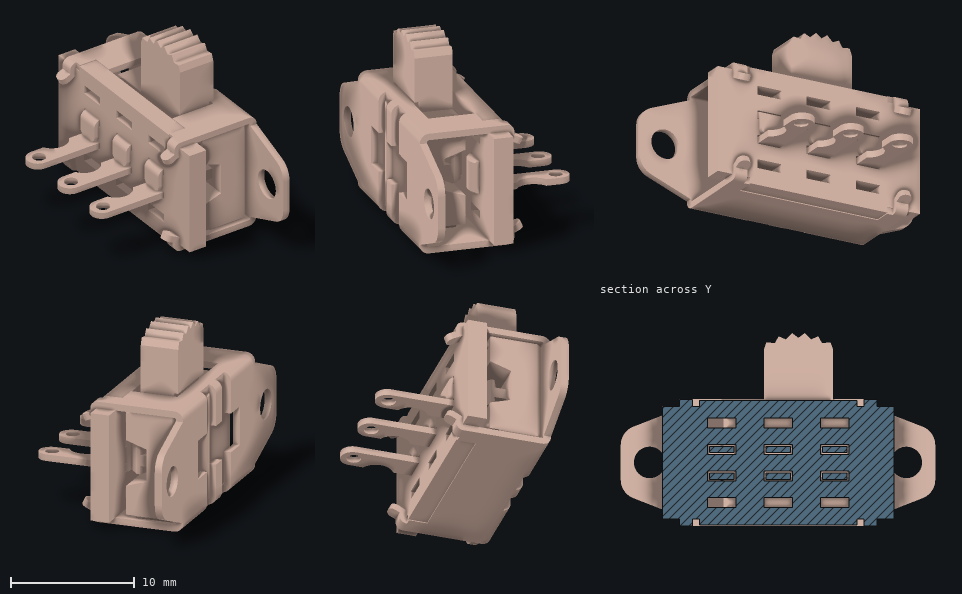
import cadquery as cq
import math


plate_length = 25.4
plate_thickness = 0.6
sheet = 0.55
frame_length = 16.0
frame_height = 10.25
bend_radius = 0.75
frame_front = 7.42
half_frame = frame_length / 2
half_height = frame_height / 2
inner_half_height = half_height - sheet

ear_corner_radius = 1.6
ear_root_half_height = 4.32
ear_end_half_height = 2.5
mount_hole_diameter = 2.55
mount_hole_x = 10.36

detent_x = 1.65
detent_slot_width = 1.98
rear_window_length = 9.3
rear_window_height = 3.3
knob_window_length = 9.1
knob_window_rear = 1.85

board_length = 18.75
board_rear = 5.87
board_front = 7.5
tongue_length = 12.75
tongue_half_height = 5.05
slot_length = 2.25
slot_height = 0.75
slot_row_pitch = 2.13
slot_rows = 4

tab_width = 1.1
tab_front = 8.03
tab_bend_radius = 0.58
tab_inner_bend_z = 3.9
tab_outer_bend_z = 4.2
tab_slope = math.radians(-25)
tab_tip_length = 0.95
tab_corner_radius = 0.48

terminal_pitch = 4.57
terminal_columns = [-terminal_pitch, 0, terminal_pitch]
terminal_width = 2.0
terminal_half_height = 1.37
terminal_rear = 5.18
terminal_bow = 0.3
terminal_chamfer = 0.13
clinch_thickness = 0.45
clinch_bend_radius = 0.65
clinch_bottom_z = -0.7
clinch_corner_radius = 0.55
lug_tip = 13.8
lug_hole_diameter = 1.17
lug_hole_depth = 12.67
notch_start = 9.05
notch_end = 11.55
notch_reach = 0.75

slider_length = 12.15
slider_rear = plate_thickness
slider_front = 5.05
slider_top = 4.45
slider_bottom = -4.3
slider_corner_chamfer = 0.45
channel_floor = 3.28
channel_mid_z = 0.1
channel_floor_half_height = 1.37
channel_mouth_half_height = 1.95
foot_front = 4.3
foot_chamfer = 0.25
detent_ridge_diameter = 2.55
detent_ridge_height = 0.33
bump_radius = 0.3
bump_height = 0.23
bump_spacing = 10.87
bump_heights = [-3.75, 3.94]
stem_rear = 2.2
knob_rear = 1.8
knob_half_width = 2.8
knob_bottom = 5.35
knob_shoulder = 9.12
knob_serrations = [(2.6, 9.7), (1.9, 9.63), (1.6, 10.19), (1.02, 9.93), (0.5, 10.45)]
knob_middle_z = 10.05

contact_half_height = 1.17
contact_front = 5.28
contact_crest_rear = 4.32
contact_crest_front = 4.6
contact_front_half_length = 4.06
contact_crest_half_length = 4.83
contact_rear_half_length = 2.55
contact_stem_half_height = 0.45


def block(x_min, x_max, depth_near, depth_far, z_min, z_max):
    """Box between two X limits, two depths and two heights."""
    size = (x_max - x_min, depth_far - depth_near, z_max - z_min)
    return cq.Workplane("XY").box(*size, centered=False).translate((x_min, -depth_far, z_min))


def prism_along_x(points, x_min, x_max):
    """Prism with a (depth, z) outline."""
    outline = [(-depth, z) for depth, z in points]
    return cq.Workplane("YZ").polyline(outline).close().extrude(x_max - x_min).translate((x_min, 0, 0))


def prism_along_z(points, z_min, z_max):
    """Prism with an (x, depth) outline."""
    outline = [(x, -depth) for x, depth in points]
    return cq.Workplane("XY").polyline(outline).close().extrude(z_max - z_min).translate((0, 0, z_min))


def make_plate():
    half_length = plate_length / 2
    outline = [
        (half_frame, ear_root_half_height),
        (half_length, ear_end_half_height),
        (half_length, -ear_end_half_height),
        (half_frame, -ear_root_half_height),
        (-half_frame, -ear_root_half_height),
        (-half_length, -ear_end_half_height),
        (-half_length, ear_end_half_height),
        (-half_frame, ear_root_half_height),
    ]
    plate = cq.Workplane("XZ").polyline(outline).close().extrude(plate_thickness)
    plate = plate.edges("|Y and (<X or >X)").fillet(ear_corner_radius)
    holes = (
        cq.Workplane("XZ")
        .pushPoints([(-mount_hole_x, 0), (mount_hole_x, 0)])
        .circle(mount_hole_diameter / 2)
        .extrude(plate_thickness)
    )
    return plate.cut(holes)


def make_frame():
    frame = block(-half_frame, half_frame, 0, frame_front, -half_height, half_height)
    frame = frame.edges("|X and >Y").fillet(bend_radius)
    cavity = block(
        -half_frame, half_frame, plate_thickness, frame_front, -inner_half_height, inner_half_height
    )
    cavity = cavity.edges("|X and >Y").fillet(bend_radius - plate_thickness)
    frame = frame.cut(cavity).union(make_plate())

    half_tongue = tongue_length / 2
    frame = frame.cut(block(-half_tongue, half_tongue, board_rear, frame_front, -half_height, half_height))

    half_window = knob_window_length / 2
    frame = frame.cut(block(-half_window, half_window, knob_window_rear, board_rear, 0, half_height))

    for x in (-detent_x, detent_x):
        half_slot = detent_slot_width / 2
        frame = frame.cut(block(x - half_slot, x + half_slot, 0, plate_thickness, -half_height, half_height))
    half_length = rear_window_length / 2
    half_opening = rear_window_height / 2
    return frame.cut(block(-half_length, half_length, 0, plate_thickness, -half_opening, half_opening))


def make_tab():
    """Retaining tab at the +X, +Z corner: bent over the board, then flared outwards."""
    along = (math.cos(tab_slope), math.sin(tab_slope))
    across = (-along[1], along[0])
    outer_bend = (tab_front, tab_outer_bend_z)
    tip_top = (outer_bend[0] + tab_tip_length * along[0], outer_bend[1] + tab_tip_length * along[1])
    tip_bottom = (tip_top[0] - sheet * across[0], tip_top[1] - sheet * across[1])
    run_back = (tip_bottom[0] - tab_front) / along[0]
    inner_bend = (tab_front, tip_bottom[1] - run_back * along[1])
    tab = prism_along_x(
        [
            (frame_front, half_height),
            (tab_front, half_height),
            outer_bend,
            tip_top,
            tip_bottom,
            inner_bend,
            (frame_front, tab_inner_bend_z),
        ],
        half_frame - tab_width,
        half_frame,
    )
    corner = cq.selectors.NearestToPointSelector((half_frame - tab_width / 2, -tab_front, half_height))
    tab = tab.edges(corner).fillet(tab_bend_radius)
    thickness_direction = cq.Vector(0, -across[0], across[1])
    tip_edges = cq.selectors.ParallelDirSelector(thickness_direction)
    return tab.edges(tip_edges).fillet(tab_corner_radius)


def make_tabs():
    upper = make_tab()
    upper = upper.union(upper.mirror("YZ"))
    return upper.union(upper.mirror("XY"))


def make_board():
    half_board = board_length / 2
    half_tongue = tongue_length / 2
    board = block(-half_board, half_board, board_rear, board_front, -inner_half_height, inner_half_height)
    board = board.union(
        block(-half_tongue, half_tongue, board_rear, board_front, -tongue_half_height, tongue_half_height)
    )
    slots = (
        cq.Workplane("XZ", origin=(0, -board_rear, 0))
        .rarray(terminal_pitch, slot_row_pitch, len(terminal_columns), slot_rows)
        .rect(slot_length, slot_height)
        .extrude(board_front - board_rear)
    )
    return board.cut(slots)


def make_terminal():
    """Terminal at x = 0: bowed contact head, clinched upper leg and solder lug."""
    half_width = terminal_width / 2
    leg_bottom = terminal_half_height - sheet
    corner_depth = terminal_rear + terminal_bow
    head = (
        cq.Workplane("XY", origin=(0, 0, -terminal_half_height))
        .moveTo(-half_width, -board_rear)
        .lineTo(-half_width, -corner_depth)
        .threePointArc((0, -terminal_rear), (half_width, -corner_depth))
        .lineTo(half_width, -board_rear)
        .close()
        .extrude(2 * terminal_half_height)
    )
    head = head.edges("%CIRCLE").chamfer(terminal_chamfer)

    clinch_front = board_front + clinch_thickness
    clinch = block(-half_width, half_width, board_rear, clinch_front, clinch_bottom_z, terminal_half_height)
    clinch = clinch.edges("|X and <Y and >Z").fillet(clinch_bend_radius)
    clinch = clinch.cut(block(-half_width, half_width, board_rear, board_front, clinch_bottom_z, leg_bottom))
    clinch = clinch.edges("|Y and <Z").fillet(clinch_corner_radius)

    lug_end_center = lug_tip - half_width
    notch_middle = (notch_start + notch_end) / 2
    lug = (
        cq.Workplane("XY", origin=(0, 0, -terminal_half_height))
        .moveTo(-half_width, -board_rear)
        .lineTo(-half_width, -notch_start)
        .threePointArc((-half_width + notch_reach, -notch_middle), (-half_width, -notch_end))
        .lineTo(-half_width, -lug_end_center)
        .threePointArc((0, -lug_tip), (half_width, -lug_end_center))
        .lineTo(half_width, -board_rear)
        .close()
        .extrude(sheet)
    )
    hole = (
        cq.Workplane("XY", origin=(0, -lug_hole_depth, -terminal_half_height))
        .circle(lug_hole_diameter / 2)
        .extrude(sheet)
    )
    return head.union(clinch).union(lug.cut(hole))


def make_slider():
    x_min = detent_x - slider_length / 2
    x_max = detent_x + slider_length / 2
    slider = block(x_min, x_max, slider_rear, slider_front, slider_bottom, slider_top)
    slider = slider.edges("|Z and >Y").chamfer(slider_corner_chamfer)

    channel = prism_along_x(
        [
            (channel_floor, channel_mid_z + channel_floor_half_height),
            (slider_front, channel_mid_z + channel_mouth_half_height),
            (slider_front, channel_mid_z - channel_mouth_half_height),
            (channel_floor, channel_mid_z - channel_floor_half_height),
        ],
        x_min,
        x_max,
    )
    slider = slider.cut(channel)

    foot_rear = slider_rear + slider_corner_chamfer
    foot = block(x_min, x_max, foot_rear, foot_front, -inner_half_height, slider_bottom)
    foot = foot.edges("|Y and <Z").chamfer(foot_chamfer)
    slider = slider.union(foot)

    ridge_radius = detent_ridge_diameter / 2
    ridge_center = slider_rear - detent_ridge_height + ridge_radius
    ridge = (
        cq.Workplane("XY", origin=(detent_x, -ridge_center, slider_bottom))
        .circle(ridge_radius)
        .extrude(slider_top - slider_bottom)
    )
    slider = slider.union(ridge.intersect(block(x_min, x_max, 0, channel_floor, slider_bottom, slider_top)))

    dome_radius = (bump_radius**2 + bump_height**2) / (2 * bump_height)
    dome_center = slider_front + bump_height - dome_radius
    for x in (detent_x - bump_spacing / 2, detent_x + bump_spacing / 2):
        for z in bump_heights:
            slider = slider.union(cq.Workplane("XY").sphere(dome_radius).translate((x, -dome_center, z)))
    return slider


def make_knob():
    right = [(knob_half_width, knob_bottom), (knob_half_width, knob_shoulder)] + knob_serrations
    left = [(-x, z) for x, z in reversed(right)]
    outline = right + [(0, knob_middle_z)] + left
    knob = (
        cq.Workplane("XZ", origin=(detent_x, -knob_rear, 0))
        .polyline(outline)
        .close()
        .extrude(slider_front - knob_rear)
    )
    x_min = detent_x - knob_half_width
    x_max = detent_x + knob_half_width
    stem = block(x_min, x_max, stem_rear, slider_front, slider_top, knob_bottom)
    return knob.union(stem)


def make_contact():
    """Bridging contact with bulged ends, carried in the slider channel."""
    right = [
        (contact_rear_half_length, channel_floor),
        (contact_crest_half_length, contact_crest_rear),
        (contact_crest_half_length, contact_crest_front),
        (contact_front_half_length, contact_front),
    ]
    left = [(-x, depth) for x, depth in reversed(right)]
    shoe = prism_along_z(right + left, -contact_half_height, contact_half_height)
    stem = block(
        -contact_crest_half_length,
        contact_crest_half_length,
        channel_floor,
        contact_crest_rear,
        -contact_stem_half_height,
        contact_stem_half_height,
    )
    return shoe.union(stem).translate((detent_x, 0, 0))


result = make_frame().union(make_tabs()).union(make_board())
for column_x in terminal_columns:
    result = result.union(make_terminal().translate((column_x, 0, 0)))
result = result.union(make_slider()).union(make_knob()).union(make_contact())